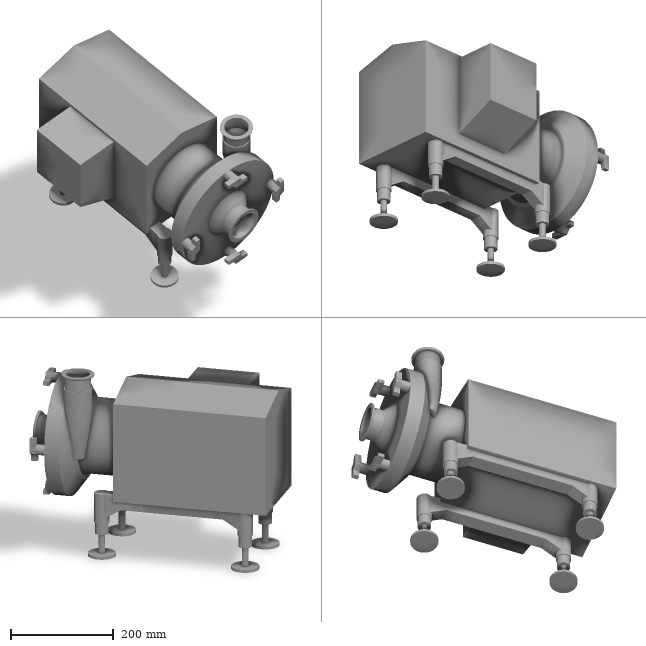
import cadquery as cq
import math

AXIS_HEIGHT = 219.5

CABINET_LENGTH = 308.0
CABINET_WIDTH = 186.5
CABINET_BOTTOM = 119.5
EAVES_HEIGHT = 321.0
RIDGE_HEIGHT = 346.0

BOX_START = 90.0
BOX_LENGTH = 124.5
BOX_DEPTH = 89.0
BOX_TOP = 314.0
BOX_OUTER_BOTTOM = 189.5
BOX_INNER_BOTTOM = 148.0

LEG_BACK_X = 47.0
LEG_FRONT_X = 337.0
LEG_OFFSET_Y = 72.5
TUBE_DIAMETER = 30.0
TUBE_TOP = 129.5
TUBE_BOTTOM = 69.0
SLEEVE_DIAMETER = 26.2
SLEEVE_BOTTOM = 45.5
ROD_DIAMETER = 13.0
FOOT_DIAMETER = 55.0
FOOT_THICKNESS = 6.0

RAIL_WIDTH = 25.5
RAIL_TOP_BACK = 130.5
RAIL_TOP_FRONT = 129.5
RAIL_MIDDLE_BOTTOM = 100.5
RAIL_END_BOTTOM = 80.0
RAIL_SLANT_LENGTH = 33.5

ADAPTER_DIAMETER = 150.0
NECK_START = 371.0
NECK_END_DIAMETER = 155.0
CASING_START = 383.5
CASING_BACK_DIAMETER = 173.0
CASING_DIAMETER = 245.0
RIM_START = 409.0
RIM_END = 439.5
HUB_DIAMETER = 101.5
HUB_END = 458.5
INLET_DIAMETER = 63.5
INLET_BORE = 59.5
INLET_FLANGE_DIAMETER = 77.5
INLET_END = 486.0

FLANGE_THICKNESS = 5.0
FLANGE_EDGE = 2.5
FLANGE_BEVEL = 1.5

OUTLET_X = 385.0
OUTLET_Y = 74.0
OUTLET_TOP = 370.0
OUTLET_DIAMETER = 51.0
OUTLET_BORE = 47.5
OUTLET_FLANGE_DIAMETER = 64.0
BOSS_DIAMETER = 55.0
BOSS_TOP = 340.0
BOSS_BOTTOM = 296.5

THROAT_MIDDLE_HEIGHT = 250.5
THROAT_MIDDLE_DIAMETER = 46.0
THROAT_MIDDLE_Y = 77.5
THROAT_BOTTOM_HEIGHT = 199.5
THROAT_BOTTOM_DIAMETER = 29.0
THROAT_BOTTOM_Y = 78.0

NUT_COUNT = 4
STUD_DIAMETER = 21.0
NUT_START = 457.0
NUT_END = 469.0
WING_REACH = 25.0
WING_ROOT = 4.0
WING_TIP = 1.5
SHOULDER_HEIGHT = 12.0
SHOULDER_CORNER = 6.0
SHOULDER_ROOT = 2.5


def make_cabinet():
    half_width = CABINET_WIDTH / 2
    return (
        cq.Workplane("YZ")
        .moveTo(-half_width, CABINET_BOTTOM)
        .lineTo(half_width, CABINET_BOTTOM)
        .lineTo(half_width, EAVES_HEIGHT)
        .lineTo(0, RIDGE_HEIGHT)
        .lineTo(-half_width, EAVES_HEIGHT)
        .close()
        .extrude(CABINET_LENGTH)
    )


def make_terminal_box():
    inner_y = -CABINET_WIDTH / 2
    outer_y = inner_y - BOX_DEPTH
    return (
        cq.Workplane("YZ", origin=(BOX_START, 0, 0))
        .moveTo(inner_y, BOX_INNER_BOTTOM)
        .lineTo(inner_y, BOX_TOP)
        .lineTo(outer_y, BOX_TOP)
        .lineTo(outer_y, BOX_OUTER_BOTTOM)
        .close()
        .extrude(BOX_LENGTH)
    )


def make_leg(x, y):
    def cylinder(diameter, bottom, top):
        return cq.Workplane(origin=(x, y, bottom)).circle(diameter / 2).extrude(top - bottom)

    foot = cylinder(FOOT_DIAMETER, 0, FOOT_THICKNESS)
    rod = cylinder(ROD_DIAMETER, 0, SLEEVE_BOTTOM)
    sleeve = cylinder(SLEEVE_DIAMETER, SLEEVE_BOTTOM, TUBE_BOTTOM)
    tube = cylinder(TUBE_DIAMETER, TUBE_BOTTOM, TUBE_TOP)
    return foot.union(rod).union(sleeve).union(tube)


def make_rail(y):
    end_setback = math.sqrt((TUBE_DIAMETER / 2) ** 2 - (RAIL_WIDTH / 2) ** 2)
    back_x = LEG_BACK_X + end_setback
    front_x = LEG_FRONT_X - end_setback
    return (
        cq.Workplane("XZ", origin=(0, y + RAIL_WIDTH / 2, 0))
        .moveTo(back_x, RAIL_END_BOTTOM)
        .lineTo(back_x + RAIL_SLANT_LENGTH, RAIL_MIDDLE_BOTTOM)
        .lineTo(front_x - RAIL_SLANT_LENGTH, RAIL_MIDDLE_BOTTOM)
        .lineTo(front_x, RAIL_END_BOTTOM)
        .lineTo(front_x, RAIL_TOP_FRONT)
        .lineTo(CABINET_LENGTH, RAIL_TOP_BACK)
        .lineTo(back_x, RAIL_TOP_BACK)
        .close()
        .extrude(RAIL_WIDTH)
    )


def make_drive_unit():
    drive_unit = make_cabinet().union(make_terminal_box())
    for y in (-LEG_OFFSET_Y, LEG_OFFSET_Y):
        drive_unit = drive_unit.union(make_rail(y))
        for x in (LEG_BACK_X, LEG_FRONT_X):
            drive_unit = drive_unit.union(make_leg(x, y))
    return drive_unit


def make_casing():
    flange_radius = INLET_FLANGE_DIAMETER / 2
    return (
        cq.Workplane("XY", origin=(0, 0, AXIS_HEIGHT))
        .moveTo(CABINET_LENGTH, 0)
        .lineTo(CABINET_LENGTH, ADAPTER_DIAMETER / 2)
        .lineTo(NECK_START, ADAPTER_DIAMETER / 2)
        .lineTo(CASING_START, NECK_END_DIAMETER / 2)
        .lineTo(CASING_START, CASING_BACK_DIAMETER / 2)
        .lineTo(RIM_START, CASING_DIAMETER / 2)
        .lineTo(RIM_END, CASING_DIAMETER / 2)
        .lineTo(RIM_END, HUB_DIAMETER / 2)
        .lineTo(HUB_END, INLET_DIAMETER / 2)
        .lineTo(INLET_END - FLANGE_THICKNESS, INLET_DIAMETER / 2)
        .lineTo(INLET_END - FLANGE_THICKNESS, flange_radius - FLANGE_BEVEL)
        .lineTo(INLET_END - FLANGE_EDGE, flange_radius)
        .lineTo(INLET_END, flange_radius)
        .lineTo(INLET_END, 0)
        .close()
        .revolve(360, (0, 0, 0), (1, 0, 0))
    )


def make_outlet():
    flange_radius = OUTLET_FLANGE_DIAMETER / 2
    return (
        cq.Workplane("XZ", origin=(OUTLET_X, OUTLET_Y, 0))
        .moveTo(0, BOSS_BOTTOM)
        .lineTo(BOSS_DIAMETER / 2, BOSS_BOTTOM)
        .lineTo(BOSS_DIAMETER / 2, BOSS_TOP)
        .lineTo(OUTLET_DIAMETER / 2, BOSS_TOP)
        .lineTo(OUTLET_DIAMETER / 2, OUTLET_TOP - FLANGE_THICKNESS)
        .lineTo(flange_radius - FLANGE_BEVEL, OUTLET_TOP - FLANGE_THICKNESS)
        .lineTo(flange_radius, OUTLET_TOP - FLANGE_EDGE)
        .lineTo(flange_radius, OUTLET_TOP)
        .lineTo(0, OUTLET_TOP)
        .close()
        .revolve(360, (0, 0, 0), (0, 1, 0))
    )


def make_throat():
    def section(y, z, diameter):
        circle = cq.Edge.makeCircle(diameter / 2, cq.Vector(OUTLET_X, y, z))
        return cq.Wire.assembleEdges([circle])

    top = section(OUTLET_Y, BOSS_BOTTOM, BOSS_DIAMETER)
    middle = section(THROAT_MIDDLE_Y, THROAT_MIDDLE_HEIGHT, THROAT_MIDDLE_DIAMETER)
    bottom = section(THROAT_BOTTOM_Y, THROAT_BOTTOM_HEIGHT, THROAT_BOTTOM_DIAMETER)
    return cq.Workplane(cq.Solid.makeLoft([top, middle, bottom]))


def make_wing_nut():
    stud_radius = STUD_DIAMETER / 2

    def stud_surface(y):
        return math.sqrt(stud_radius**2 - y**2)

    half_outline = [
        (stud_surface(WING_ROOT), WING_ROOT),
        (stud_radius, WING_ROOT),
        (stud_radius, WING_REACH),
        (WING_TIP, WING_REACH),
        (0, SHOULDER_HEIGHT),
        (-stud_radius, SHOULDER_CORNER),
        (-stud_surface(SHOULDER_ROOT), SHOULDER_ROOT),
    ]
    other_half = [(-x, -y) for x, y in half_outline]
    stud_circle_radius = CASING_DIAMETER / 2 - stud_radius
    centre_z = AXIS_HEIGHT + stud_circle_radius
    stud = (
        cq.Workplane("YZ", origin=(RIM_END, 0, centre_z))
        .circle(stud_radius)
        .extrude(NUT_END - RIM_END)
    )
    wing_plane = cq.Plane(origin=(NUT_START, 0, centre_z), xDir=(0, 0, 1), normal=(1, 0, 0))
    wings = (
        cq.Workplane(wing_plane)
        .polyline(half_outline + other_half)
        .close()
        .extrude(NUT_END - NUT_START)
    )
    return stud.union(wings)


def make_pump():
    pump = make_casing().union(make_outlet()).union(make_throat())
    wing_nut = make_wing_nut()
    axis_start = (0, 0, AXIS_HEIGHT)
    axis_end = (1, 0, AXIS_HEIGHT)
    for i in range(NUT_COUNT):
        pump = pump.union(wing_nut.rotate(axis_start, axis_end, i * 360 / NUT_COUNT))
    outlet_bore = (
        cq.Workplane(origin=(OUTLET_X, OUTLET_Y, BOSS_TOP))
        .circle(OUTLET_BORE / 2)
        .extrude(OUTLET_TOP - BOSS_TOP)
    )
    inlet_bore = (
        cq.Workplane("YZ", origin=(HUB_END, 0, AXIS_HEIGHT))
        .circle(INLET_BORE / 2)
        .extrude(INLET_END - HUB_END)
    )
    return pump.cut(outlet_bore).cut(inlet_bore)


drive_unit = make_drive_unit()
pump = make_pump()
result = cq.Compound.makeCompound([drive_unit.val(), pump.val()])